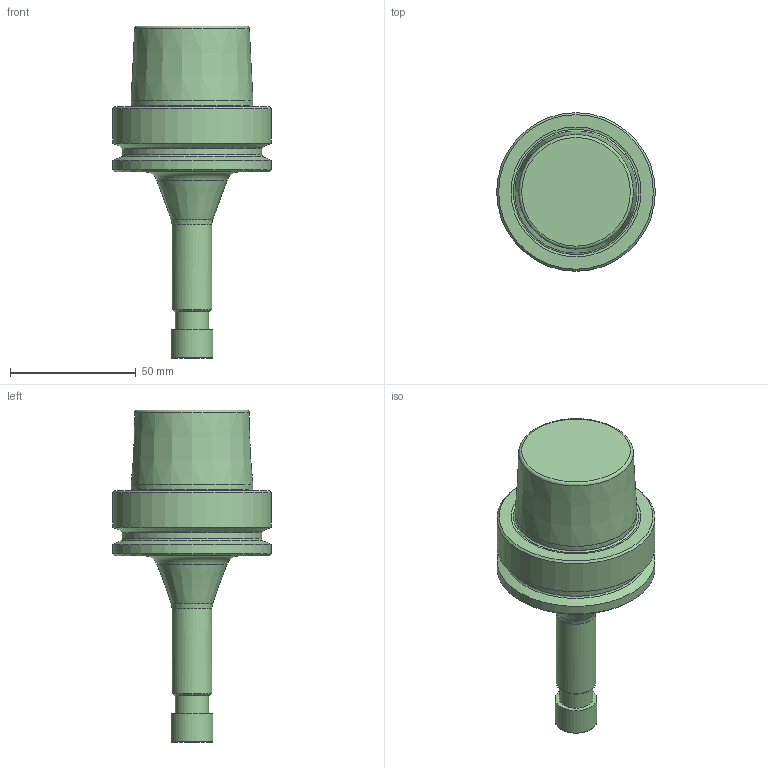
import cadquery as cq
import math


shank_length = 32.0
gauge_radius = 24.005
gauge_height = 6.3
taper_slope = 0.05
taper_base_height = 2.5
shank_tip_fillet = 1.2

relief_outer_radius = 25.8
relief_angle = math.radians(10.0)
relief_fillet = 0.6

flange_radius = 31.5
flange_thickness = 26.0
flange_chamfer = 0.8

groove_center_depth = 18.0
groove_rim_width = 7.0
groove_floor_radius = 27.75
groove_wall_angle = math.radians(25.0)
groove_fillet = 0.8

neck_end_depth = 45.9
neck_angle = math.radians(20.0)
neck_top_fillet = 5.0
neck_bottom_fillet = 6.0

stem_radius = 7.9
stem_end_depth = 81.5
stem_chamfer = 0.8
recess_radius = 6.65
head_radius = 8.3
head_top_depth = 88.7
head_chamfer = 0.3
overall_length = 131.9

selection_margin = 0.01

shank_base_radius = gauge_radius + taper_slope * (gauge_height - taper_base_height)
shank_tip_radius = gauge_radius - taper_slope * (shank_length - gauge_height)
relief_depth = (relief_outer_radius - shank_base_radius) * math.tan(relief_angle)
groove_wall_drop = (flange_radius - groove_floor_radius) * math.tan(groove_wall_angle)
groove_floor_half_width = groove_rim_width / 2 - groove_wall_drop
neck_top_radius = stem_radius + (neck_end_depth - flange_thickness) * math.tan(neck_angle)
bottom_depth = overall_length - shank_length


def revolve_profile(profile):
    """Turn a closed (radius, height) outline into a solid about the Z axis."""
    return profile.close().revolve(360, (0, 0, 0), (0, 1, 0))


def fillet_circle(body, radius, height, size):
    """Round the circular edge of the given radius lying at the given height."""
    margin = selection_margin
    corner = cq.selectors.BoxSelector(
        (-radius - margin, -radius - margin, height - margin),
        (radius + margin, radius + margin, height + margin),
        boundingbox=True,
    )
    outermost = cq.selectors.RadiusNthSelector(-1)
    return body.edges(corner).edges("%CIRCLE").edges(outermost).fillet(size)


def make_shank():
    profile = (
        cq.Workplane("XZ")
        .moveTo(0, -relief_depth)
        .lineTo(shank_base_radius, -relief_depth)
        .lineTo(shank_base_radius, taper_base_height)
        .lineTo(shank_tip_radius, shank_length)
        .lineTo(0, shank_length)
    )
    return fillet_circle(revolve_profile(profile), shank_tip_radius, shank_length, shank_tip_fillet)


def make_flange():
    profile = (
        cq.Workplane("XZ")
        .moveTo(0, -relief_depth)
        .lineTo(shank_base_radius, -relief_depth)
        .lineTo(relief_outer_radius, 0)
        .lineTo(flange_radius - flange_chamfer, 0)
        .lineTo(flange_radius, -flange_chamfer)
        .lineTo(flange_radius, flange_chamfer - flange_thickness)
        .lineTo(flange_radius - flange_chamfer, -flange_thickness)
        .lineTo(0, -flange_thickness)
    )
    return revolve_profile(profile)


def cut_gripper_groove(body):
    profile = (
        cq.Workplane("XZ")
        .moveTo(flange_radius, groove_rim_width / 2 - groove_center_depth)
        .lineTo(groove_floor_radius, groove_floor_half_width - groove_center_depth)
        .lineTo(groove_floor_radius, -groove_floor_half_width - groove_center_depth)
        .lineTo(flange_radius, -groove_rim_width / 2 - groove_center_depth)
    )
    body = body.cut(revolve_profile(profile))
    for side in (1, -1):
        corner_height = side * groove_floor_half_width - groove_center_depth
        body = fillet_circle(body, groove_floor_radius, corner_height, groove_fillet)
    return body


def make_stem():
    profile = (
        cq.Workplane("XZ")
        .moveTo(0, -flange_thickness)
        .lineTo(neck_top_radius, -flange_thickness)
        .lineTo(stem_radius, -neck_end_depth)
        .lineTo(stem_radius, stem_chamfer - stem_end_depth)
        .lineTo(stem_radius - stem_chamfer, -stem_end_depth)
        .lineTo(recess_radius, -stem_end_depth)
        .lineTo(recess_radius, -head_top_depth)
        .lineTo(head_radius, -head_top_depth)
        .lineTo(head_radius, head_chamfer - bottom_depth)
        .lineTo(head_radius - head_chamfer, -bottom_depth)
        .lineTo(0, -bottom_depth)
    )
    return fillet_circle(revolve_profile(profile), stem_radius, -neck_end_depth, neck_bottom_fillet)


flange = cut_gripper_groove(make_flange())
body = flange.union(make_shank()).union(make_stem())
body = fillet_circle(body, shank_base_radius, -relief_depth, relief_fillet)
body = fillet_circle(body, neck_top_radius, -flange_thickness, neck_top_fillet)
result = body.solids()